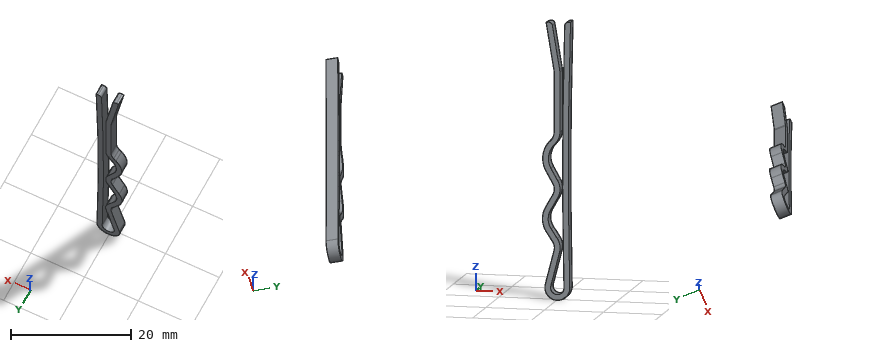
import cadquery as cq
import math


strip_thickness = 1.0
strip_width = 2.0
tip_radius = 0.6

overall_height = 47.0
loop_outer_radius = 2.1
loop_radius = loop_outer_radius - strip_thickness / 2
bow_radius = 845.65
bow_middle_z = 19.8
leg_top_z = overall_height - loop_outer_radius

tight_bend = 2.35
lower_trough = (0.2, 7.2)
arm_bends = [
    (lower_trough, tight_bend),
    ((-2.65, 11.4), 3.45),
    ((0.35, 16.65), tight_bend),
    ((-2.8, 22.2), 3.75),
    ((-0.05, 25.35), tight_bend),
    ((-0.05, 36.55), tight_bend),
]
arm_tip = (-1.4, 44.75)


def on_circle(center, radius, angle):
    """Point on a circle at an angle in radians, measured from +X towards +Z."""
    return (center[0] + radius * math.cos(angle), center[1] + radius * math.sin(angle))


def toward(start, end, distance):
    """Point at a distance from start along the line to end."""
    share = distance / math.dist(start, end)
    return (start[0] + share * (end[0] - start[0]), start[1] + share * (end[1] - start[1]))


def heading(start, end):
    return math.atan2(end[1] - start[1], end[0] - start[0])


def add_bend(path, before, corner, after, radius):
    """Run the path straight to a corner and round it with a tangent arc."""
    turn = math.remainder(heading(corner, after) - heading(before, corner), math.tau)
    tangent_length = radius * math.tan(abs(turn) / 2)
    arc_start = toward(corner, before, tangent_length)
    arc_end = toward(corner, after, tangent_length)
    chord_middle = toward(arc_start, arc_end, math.dist(arc_start, arc_end) / 2)
    corner_to_arc = radius * (1 / math.cos(turn / 2) - 1)
    arc_middle = toward(corner, chord_middle, corner_to_arc)
    return path.lineTo(*arc_start).threePointArc(arc_middle, arc_end)


def make_centerline():
    loop_center = (0.0, 0.0)
    bow_center_x = math.sqrt((bow_radius + loop_radius) ** 2 - bow_middle_z ** 2)
    bow_center = (bow_center_x, bow_middle_z)
    leg_angle = heading(loop_center, bow_center)
    leg_top_angle = math.pi - math.asin((leg_top_z - bow_middle_z) / bow_radius)
    leg_top = on_circle(bow_center, bow_radius, leg_top_angle)
    leg_middle = on_circle(bow_center, bow_radius, math.pi)
    leg_end = on_circle(loop_center, loop_radius, leg_angle)

    trough_distance = math.dist(loop_center, lower_trough)
    arm_angle = heading(loop_center, lower_trough) + math.acos(loop_radius / trough_distance)
    arm_start = on_circle(loop_center, loop_radius, arm_angle)
    loop_bottom = on_circle(loop_center, loop_radius, -math.pi / 2)

    path = cq.Workplane("XZ").moveTo(*leg_top)
    path = path.threePointArc(leg_middle, leg_end)
    path = path.threePointArc(loop_bottom, arm_start)
    corners = [arm_start] + [corner for corner, radius in arm_bends] + [arm_tip]
    for index, (corner, radius) in enumerate(arm_bends):
        path = add_bend(path, corners[index], corner, corners[index + 2], radius)
    return path.lineTo(*arm_tip), leg_top


def make_strip():
    centerline, leg_top = make_centerline()
    section = cq.Workplane("XY", origin=(leg_top[0], 0, leg_top[1]))
    return section.rect(strip_thickness, strip_width).sweep(centerline)


def round_tips(strip):
    """Round the corners of the two free ends that face each other."""
    strip = strip.faces(">Z").edges("<X").fillet(tip_radius)
    arm_angle = heading(arm_bends[-1][0], arm_tip)
    inner_side = arm_angle - math.pi / 2
    arm_corner = on_circle(arm_tip, strip_thickness / 2, inner_side)
    nearest = cq.selectors.NearestToPointSelector((arm_corner[0], 0, arm_corner[1]))
    return strip.edges(nearest).fillet(tip_radius)


result = round_tips(make_strip())